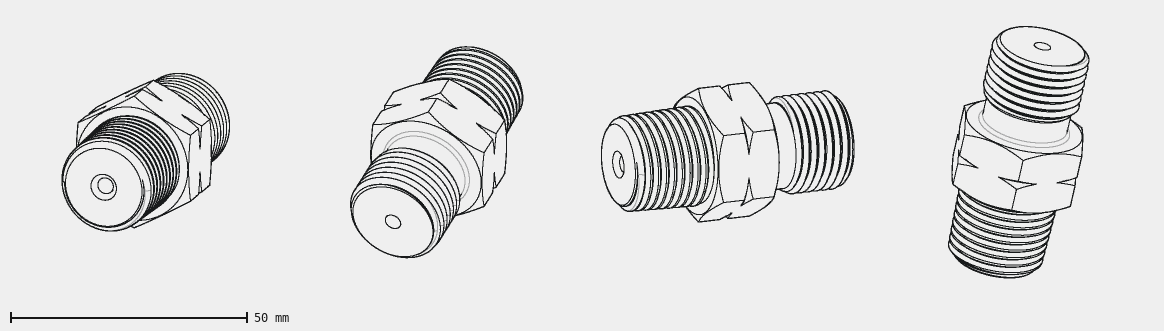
import cadquery as cq
import math


total_length = 50.8
inch = total_length / 2
pitch = inch / 14

across_flats = inch
hex_sides = 6
across_corners = across_flats / math.cos(math.pi / hex_sides)
hex_start = 17.5
hex_length = 14.3
hex_end = hex_start + hex_length
hex_middle = hex_start + hex_length / 2
corner_radius = across_corners / 2
face_radius = 12.55
groove_root_radius = 12.95
cone_slope = math.tan(math.radians(30))

spare_turns = 2
cylinder_helix = 360

taper_slope = 1 / 32
taper_tip_radius = 10.1
taper_thread_depth = 1.15
taper_crest_width = 0.45
taper_root_width = 0.05
taper_chamfer_radius = 8.65
taper_crest_y = 2.2

straight_crest_radius = 10.45
straight_root_radius = 9.2
straight_crest_width = 0.05
straight_root_width = 0.25
straight_crest_y = 38.8
straight_start = 37.25
straight_chamfer_radius = 9.15

neck_radius = 9.15
neck_fillet = 0.7

bore_diameter = 3.5
countersink_diameter = 5.75
bore_radius = bore_diameter / 2
countersink_radius = countersink_diameter / 2


def revolve_about_y(points):
    """Turn a closed outline of (radius, y) points into a solid of revolution about the Y axis."""
    return cq.Workplane("XY").polyline(points).close().revolve(360, (0, 0, 0), (0, 1, 0))


def threaded_rod(root_radius, depth, crest_width, root_width, crest_y, turns, slope=0.0, left_hand=False):
    """Overlong threaded rod along Y, with a crest crossing the -X side at y = crest_y.

    The thread starts just over one and a half turns below crest_y and runs for the given turns, with
    a plain stub at each end. root_radius applies at y = crest_y and grows by slope for each unit of y.
    The rod is meant to be trimmed between its stubs.
    """
    cone_angle = math.atan(slope)
    helix_angle = math.degrees(cone_angle) if slope else cylinder_helix
    lead = pitch / math.cos(cone_angle)
    flank_width = (pitch - crest_width - root_width) / 2
    crest_start = root_width + flank_width
    profile = [
        (0, 0),
        (0, root_width),
        (depth, crest_start),
        (depth, crest_start + crest_width),
        (0, pitch),
    ]
    start = -crest_start - crest_width / 2 - pitch
    finish = start + turns * pitch

    def radius_at(height, axial):
        """Radius at a height above the root, at an axial distance from crest_y."""
        return root_radius + slope * axial + height

    def helix_turn(height, axial):
        """One helical turn that begins at an axial distance from crest_y."""
        turn = cq.Wire.makeHelix(
            lead, lead, radius_at(height, axial), angle=helix_angle, lefthand=left_hand
        )
        return turn.translate(cq.Vector(0, 0, axial)).Edges()[0]

    def stub_faces(thread_end, stub_end):
        """Wall and flat end of a stub, and the face where the thread stops on it."""
        radius = radius_at(0, thread_end)
        rim = cq.Edge.makeCircle(radius, cq.Vector(0, 0, stub_end))
        if left_hand:
            rim = rim.mirror("XZ")
        outline = [
            cq.Vector(radius_at(height, thread_end + along), 0, thread_end + along)
            for height, along in profile
        ]
        outline.append(cq.Vector(radius, 0, stub_end))
        return [
            cq.Face.makeRuledSurface(helix_turn(0, thread_end), rim),
            cq.Face.makeFromWires(cq.Wire.assembleEdges([rim])),
            cq.Face.makeFromWires(cq.Wire.makePolygon(outline, close=True)),
        ]

    faces = stub_faces(start, start - pitch) + stub_faces(finish, finish + 2 * pitch)
    for turn in range(turns):
        turn_start = start + turn * pitch
        helices = [helix_turn(height, turn_start + along) for height, along in profile]
        for lower, upper in zip(helices, helices[1:]):
            faces.append(cq.Face.makeRuledSurface(lower, upper))
    rod = cq.Workplane(obj=cq.Solid.makeSolid(cq.Shell.makeShell(faces)))
    return (
        rod.rotate((0, 0, 0), (1, 0, 0), -90)
        .rotate((0, 0, 0), (0, 1, 0), 180)
        .translate((0, crest_y, 0))
    )


def tapered_thread():
    """Tapered right-hand thread running from a chamfered tip up to the hexagon."""
    rod = threaded_rod(
        taper_tip_radius + taper_slope * taper_crest_y - taper_thread_depth,
        taper_thread_depth,
        taper_crest_width,
        taper_root_width,
        taper_crest_y,
        math.ceil(hex_start / pitch) + spare_turns,
        slope=taper_slope,
    )
    chamfer = corner_radius - taper_chamfer_radius
    envelope = revolve_about_y([
        (0, 0),
        (taper_chamfer_radius, 0),
        (corner_radius, chamfer),
        (corner_radius, hex_start),
        (0, hex_start),
    ])
    return rod.intersect(envelope)


def straight_thread():
    """Straight left-hand thread with a 45 degree chamfer at each end."""
    rod = threaded_rod(
        straight_root_radius,
        straight_crest_radius - straight_root_radius,
        straight_crest_width,
        straight_root_width,
        straight_crest_y,
        math.ceil((total_length - straight_start) / pitch) + spare_turns,
        left_hand=True,
    )
    chamfer = corner_radius - straight_chamfer_radius
    envelope = revolve_about_y([
        (0, straight_start),
        (straight_chamfer_radius, straight_start),
        (corner_radius, straight_start + chamfer),
        (corner_radius, total_length - chamfer),
        (straight_chamfer_radius, total_length),
        (0, total_length),
    ])
    return rod.intersect(envelope)


def neck():
    """Plain neck with a fillet where it meets the hexagon."""
    return (
        cq.Workplane("XY")
        .moveTo(0, hex_end)
        .lineTo(neck_radius + neck_fillet, hex_end)
        .radiusArc((neck_radius, hex_end + neck_fillet), neck_fillet)
        .lineTo(neck_radius, straight_start)
        .lineTo(0, straight_start)
        .close()
        .revolve(360, (0, 0, 0), (0, 1, 0))
    )


def hexagon():
    """Hexagon with corners on +Z and -Z, its corners trimmed by cones at both faces and mid-length."""
    prism = (
        cq.Workplane("XZ", origin=(0, hex_end, 0))
        .polygon(hex_sides, across_corners)
        .extrude(hex_length)
        .rotate((0, 0, 0), (0, 1, 0), 180 / hex_sides)
    )
    chamfer = (corner_radius - face_radius) * cone_slope
    groove_half = (corner_radius - groove_root_radius) * cone_slope
    envelope = revolve_about_y([
        (0, hex_start),
        (face_radius, hex_start),
        (corner_radius, hex_start + chamfer),
        (corner_radius, hex_middle - groove_half),
        (groove_root_radius, hex_middle),
        (corner_radius, hex_middle + groove_half),
        (corner_radius, hex_end - chamfer),
        (face_radius, hex_end),
        (0, hex_end),
    ])
    return prism.intersect(envelope)


def bore():
    """Through bore with a 45 degree countersink at the -Y end."""
    return revolve_about_y([
        (0, 0),
        (countersink_radius, 0),
        (bore_radius, countersink_radius - bore_radius),
        (bore_radius, total_length),
        (0, total_length),
    ])


result = hexagon().union(tapered_thread()).union(neck()).union(straight_thread()).cut(bore())